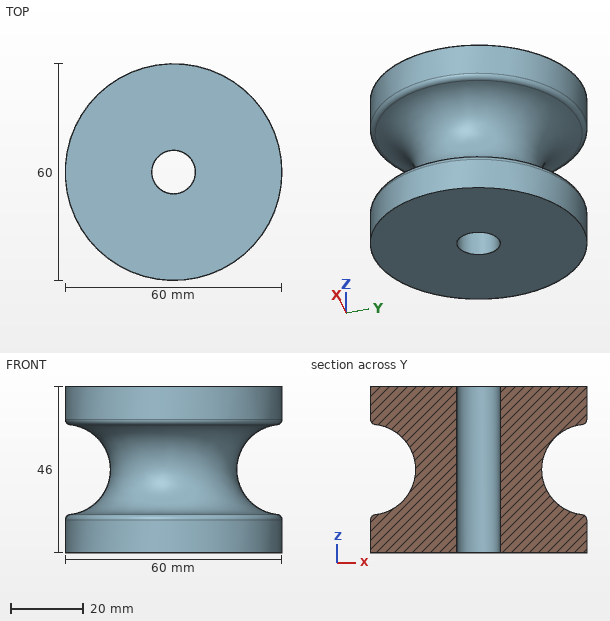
import cadquery as cq
import math

rim_diameter = 60.0
height = 46.0
bore_diameter = 12.0
groove_radius = 12.5
lip_radius = 1.5

rim_radius = rim_diameter / 2
bore_radius = bore_diameter / 2
half_height = height / 2
neck_radius = rim_radius - groove_radius

center_distance = groove_radius + lip_radius
lip_center_r = rim_radius - lip_radius
lip_center_z = math.sqrt(center_distance**2 - lip_radius**2)

tangent_r = rim_radius - lip_radius * groove_radius / center_distance
tangent_z = lip_center_z * groove_radius / center_distance

groove_direction = math.atan2(tangent_z - lip_center_z, tangent_r - lip_center_r)
lip_mid_angle = groove_direction / 2
lip_mid_r = lip_center_r + lip_radius * math.cos(lip_mid_angle)
lip_mid_z = lip_center_z + lip_radius * math.sin(lip_mid_angle)

profile = (
    cq.Workplane("XZ")
    .moveTo(bore_radius, -half_height)
    .lineTo(rim_radius, -half_height)
    .lineTo(rim_radius, -lip_center_z)
    .threePointArc((lip_mid_r, -lip_mid_z), (tangent_r, -tangent_z))
    .threePointArc((neck_radius, 0), (tangent_r, tangent_z))
    .threePointArc((lip_mid_r, lip_mid_z), (rim_radius, lip_center_z))
    .lineTo(rim_radius, half_height)
    .lineTo(bore_radius, half_height)
    .close()
)

result = profile.revolve(360, (0, 0, 0), (0, 1, 0))